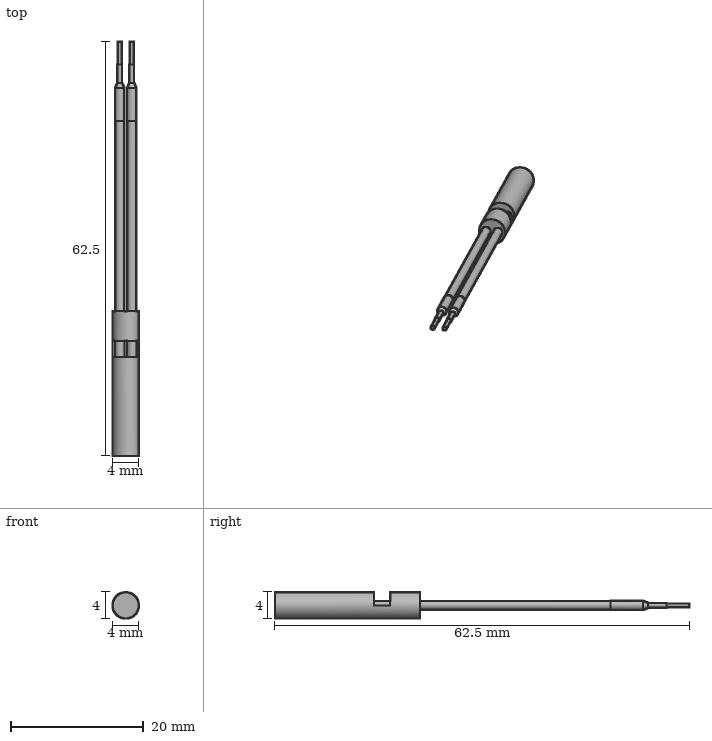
import cadquery as cq

total_length = 62.5
front_y = -total_length / 2
back_y = total_length / 2

housing_diameter = 4.0
housing_length = 21.9
housing_back_y = front_y + housing_length

window_front_y = front_y + 14.95
window_length = 2.45

wire_spacing = 1.8
wire_diameter = 1.4
sleeve_diameter = 1.45
sleeve_length = 4.95
taper_length = 0.75
taper_tip_diameter = 0.8
insulation_diameter = 0.75
insulation_length = 2.8
conductor_diameter = 0.6
conductor_length = 3.45

conductor_y = back_y - conductor_length
insulation_y = conductor_y - insulation_length
taper_y = insulation_y - taper_length
sleeve_y = taper_y - sleeve_length
wire_positions = (-wire_spacing / 2, wire_spacing / 2)


def rod(diameter, start_y, end_y, x=0):
    """Round rod parallel to Y."""
    return (
        cq.Workplane("XZ", origin=(x, start_y, 0))
        .circle(diameter / 2)
        .extrude(start_y - end_y)
    )


def make_housing():
    """Cylinder with a half-depth window and a blind hole for each wire."""
    body = rod(housing_diameter, front_y, housing_back_y)
    window = (
        cq.Workplane("XY", origin=(0, window_front_y, 0))
        .box(housing_diameter, window_length, housing_diameter, centered=(True, False, False))
    )
    body = body.cut(window)
    for x in wire_positions:
        body = body.cut(rod(wire_diameter, window_front_y, housing_back_y, x))
    return body


def make_wire(x):
    """Jacketed wire with a sleeve, tapered end, inner insulation and bare conductor."""
    profile = [
        (0, window_front_y),
        (wire_diameter / 2, window_front_y),
        (wire_diameter / 2, sleeve_y),
        (sleeve_diameter / 2, sleeve_y),
        (sleeve_diameter / 2, taper_y),
        (taper_tip_diameter / 2, insulation_y),
        (insulation_diameter / 2, insulation_y),
        (insulation_diameter / 2, conductor_y),
        (conductor_diameter / 2, conductor_y),
        (conductor_diameter / 2, back_y),
        (0, back_y),
    ]
    wire = cq.Workplane("XY").polyline(profile).close().revolve(360, (0, 0, 0), (0, 1, 0))
    return wire.translate((x, 0, 0))


housing = make_housing()
wires = [make_wire(x) for x in wire_positions]
result = cq.Compound.makeCompound([housing.val(), *[wire.val() for wire in wires]])